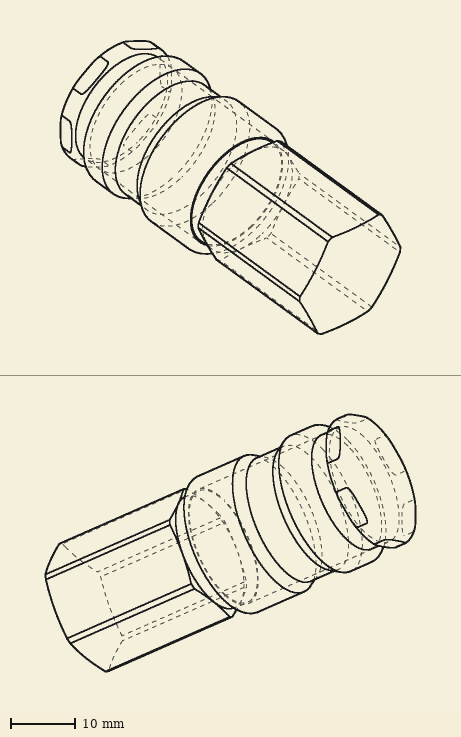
import cadquery as cq
import math

overall_length = 55.6
total_diameter = 23.15
flange_length = 2.6
sleeve_start = 5.9
sleeve_length = 23.2
wrench_hex_length = 24.0
sleeve_end = sleeve_start + sleeve_length
wrench_hex_start = overall_length - wrench_hex_length

flange_across_flats = 21.0
flange_corner_diameter = 22.0
flange_edge_radius = 0.5

front_neck_diameter = 19.4
rear_neck_diameter = 18.95

waist_diameter = 21.0
waist_start = 12.65
waist_length = 5.0
waist_taper_length = 1.85
sleeve_edge_radius = 1.0

wrench_across_flats = 19.0
wrench_corner_diameter = 21.4
wrench_hex_turn = 6.87
wrench_end_angle = 15.0


def cylinder(start, length, diameter):
    """Round bar along +X."""
    return cq.Workplane("YZ").workplane(offset=start).circle(diameter / 2).extrude(length)


def hexagon(start, length, across_flats, corner_angle):
    """Hexagonal bar along +X; corner_angle is measured from +Y towards +Z."""
    across_corners = across_flats / math.cos(math.radians(30))
    bar = cq.Workplane("YZ").workplane(offset=start).polygon(6, across_corners).extrude(length)
    return bar.rotate((0, 0, 0), (1, 0, 0), corner_angle)


def make_flange():
    round_blank = cylinder(0, flange_length, flange_corner_diameter).edges().fillet(flange_edge_radius)
    return hexagon(0, flange_length, flange_across_flats, 30).intersect(round_blank)


def make_wrench_hex():
    corner_radius = wrench_corner_diameter / 2
    end_radius = wrench_across_flats / 2
    end_depth = (corner_radius - end_radius) * math.tan(math.radians(wrench_end_angle))
    turned_blank = (
        cq.Workplane("XY")
        .moveTo(wrench_hex_start, 0)
        .lineTo(wrench_hex_start, end_radius)
        .lineTo(wrench_hex_start + end_depth, corner_radius)
        .lineTo(overall_length - end_depth, corner_radius)
        .lineTo(overall_length, end_radius)
        .lineTo(overall_length, 0)
        .close()
        .revolve(360, (0, 0, 0), (1, 0, 0))
    )
    bar = hexagon(wrench_hex_start, wrench_hex_length, wrench_across_flats, -wrench_hex_turn)
    return bar.intersect(turned_blank)


def make_body():
    front_neck = cylinder(flange_length, sleeve_end - flange_length, front_neck_diameter)
    rear_neck = cylinder(sleeve_end, wrench_hex_start - sleeve_end, rear_neck_diameter)
    return make_flange().union(front_neck).union(rear_neck).union(make_wrench_hex())


def make_sleeve():
    outer_radius = total_diameter / 2
    waist_radius = waist_diameter / 2
    waist_end = waist_start + waist_length
    profile = (
        cq.Workplane("XY")
        .moveTo(sleeve_start, 0)
        .lineTo(sleeve_start, outer_radius)
        .lineTo(waist_start - waist_taper_length, outer_radius)
        .lineTo(waist_start, waist_radius)
        .lineTo(waist_end, waist_radius)
        .lineTo(waist_end + waist_taper_length, outer_radius)
        .lineTo(sleeve_end, outer_radius)
        .lineTo(sleeve_end, 0)
        .close()
    )
    blank = profile.revolve(360, (0, 0, 0), (1, 0, 0))
    rounded = blank.faces("<X or >X").edges().fillet(sleeve_edge_radius)
    return rounded.cut(cylinder(sleeve_start, sleeve_length, front_neck_diameter))


body = make_body()
sleeve = make_sleeve()
result = cq.Compound.makeCompound([body.val(), sleeve.val()])